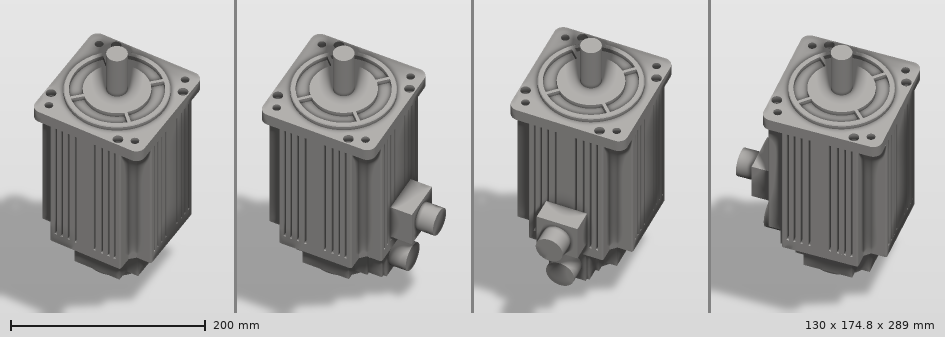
import cadquery as cq


COVER_BASE_Z = 7.8
CAP_BOTTOM_Z = 52.0
STATOR_BOTTOM_Z = 64.2
FLANGE_BOTTOM_Z = 218.2
FLANGE_TOP_Z = 232.5
PILOT_TOP_Z = 237.5
SHAFT_TOP_Z = 289.0

FRAME_SIZE = 130.0
FRAME_HALF = FRAME_SIZE / 2
RIGHT_ANGLES = [0, 90, 180, 270]

SHAFT_DIA = 22.3
FLANGE_CORNER_RADIUS = 9.8
PILOT_DIA = 110.0
PILOT_CHAMFER = 1.0
RECESS_OUTER_DIA = 98.8
RECESS_INNER_DIA = 70.5
RECESS_DEPTH = PILOT_TOP_Z - FLANGE_TOP_Z
RIB_WIDTH = 3.5
MOUNT_HOLE_DIA = 9.0
MOUNT_HOLE_OFFSET = 51.2

SCREW_ALONG = 35.0
SCREW_OUT = 58.0
SCREW_HOLE_DIA = 7.0
SCREW_HEAD_DIA = 11.0
SCREW_HEAD_DEPTH = 8.7
SCREW_THREAD_DIA = 5.8

NOTCH_WALL = 42.0
NOTCH_BEVEL_END = 48.0
LOBE_RADIUS = 2.0
GROOVE_CENTERS = [11.3, 20.0, 27.7, SCREW_ALONG]
GROOVE_WIDTH = 2.5
GROOVE_DEPTH = 6.0

COVER_SIZE = 81.2
COVER_ARM_WIDTH = 53.2
COVER_BOX_WIDTH = 45.7
COVER_BOX_END_Y = 55.8
COVER_DISC_DIA = 70.5

POWER_X = -1.2
POWER_Z = 92.0
POWER_BOX_WIDTH = 45.7
POWER_BOX_HEIGHT = 42.8
POWER_BOX_END_Y = 89.5
POWER_SOCKET_DIA = 30.3
POWER_SOCKET_END_Y = 109.8

ENCODER_Z = 28.3
ENCODER_PLATE_SIZE = 40.2
ENCODER_PLATE_END_Y = 59.5
ENCODER_SOCKET_DIA = 31.5
ENCODER_SOCKET_END_Y = 79.5


def level(z):
    """Horizontal workplane at height z, centred on the shaft axis."""
    return cq.Workplane("XY", origin=(0, 0, z))


def toward_back(x, y, z):
    """Upright workplane at the given point; a negative extrusion runs toward +Y."""
    return cq.Workplane("XZ", origin=(x, y, z))


def screw_points():
    """Screw centres, the first beside the +Y side and the others turned by right angles."""
    x, y = -SCREW_ALONG, SCREW_OUT
    return [(x, y), (-y, x), (-x, -y), (y, -x)]


def notched_frame(bottom_z, top_z):
    """Square prism with a bevelled notch in each corner and rounded lobe ends."""
    height = top_z - bottom_z
    arm = (
        level(bottom_z)
        .rect(FRAME_SIZE, 2 * NOTCH_WALL)
        .extrude(height)
        .edges("|Z")
        .fillet(LOBE_RADIUS)
    )
    cross_arm = arm.rotate((0, 0, 0), (0, 0, 1), 90)
    bevel = NOTCH_BEVEL_END - NOTCH_WALL
    core = (
        level(bottom_z)
        .rect(2 * NOTCH_BEVEL_END, 2 * NOTCH_BEVEL_END)
        .extrude(height)
        .edges("|Z")
        .chamfer(bevel)
    )
    return core.union(arm).union(cross_arm)


def make_shaft():
    """Plain output shaft standing on the hub of the flange."""
    return level(PILOT_TOP_Z).circle(SHAFT_DIA / 2).extrude(SHAFT_TOP_Z - PILOT_TOP_Z)


def make_flange():
    """Square front plate with a centring pilot, recessed face, mounting and screw holes."""
    plate = (
        level(FLANGE_BOTTOM_Z)
        .rect(FRAME_SIZE, FRAME_SIZE)
        .extrude(FLANGE_TOP_Z - FLANGE_BOTTOM_Z)
        .edges("|Z")
        .fillet(FLANGE_CORNER_RADIUS)
    )
    pilot = (
        level(FLANGE_TOP_Z)
        .circle(PILOT_DIA / 2)
        .extrude(PILOT_TOP_Z - FLANGE_TOP_Z)
        .faces(">Z")
        .chamfer(PILOT_CHAMFER)
    )
    flange = plate.union(pilot).cut(make_pilot_recess())
    mount_holes = (
        level(FLANGE_BOTTOM_Z)
        .rect(2 * MOUNT_HOLE_OFFSET, 2 * MOUNT_HOLE_OFFSET, forConstruction=True)
        .vertices()
        .circle(MOUNT_HOLE_DIA / 2)
        .extrude(FLANGE_TOP_Z - FLANGE_BOTTOM_Z)
    )
    screw_holes = (
        level(FLANGE_TOP_Z)
        .pushPoints(screw_points())
        .circle(SCREW_HOLE_DIA / 2)
        .extrude(FLANGE_BOTTOM_Z - FLANGE_TOP_Z)
    )
    head_pockets = (
        level(FLANGE_TOP_Z)
        .pushPoints(screw_points())
        .circle(SCREW_HEAD_DIA / 2)
        .extrude(-SCREW_HEAD_DEPTH)
    )
    return flange.cut(mount_holes).cut(screw_holes).cut(head_pockets)


def make_pilot_recess():
    """Ring-shaped recess in the pilot face, interrupted by four diagonal ribs."""
    floor = level(PILOT_TOP_Z - RECESS_DEPTH)
    ring = floor.circle(RECESS_OUTER_DIA / 2).circle(RECESS_INNER_DIA / 2).extrude(RECESS_DEPTH)
    for angle in (45, 135):
        rib_pair = (
            level(PILOT_TOP_Z - RECESS_DEPTH)
            .rect(PILOT_DIA, RIB_WIDTH)
            .extrude(RECESS_DEPTH)
            .rotate((0, 0, 0), (0, 0, 1), angle)
        )
        ring = ring.cut(rib_pair)
    return ring


def make_stator():
    """Notched housing with eight lengthwise cooling grooves in each side."""
    side_points = [
        (sign * center, FRAME_HALF - GROOVE_DEPTH / 2)
        for center in GROOVE_CENTERS
        for sign in (-1, 1)
    ]
    side_grooves = (
        level(STATOR_BOTTOM_Z)
        .pushPoints(side_points)
        .rect(GROOVE_WIDTH, GROOVE_DEPTH)
        .extrude(FLANGE_BOTTOM_Z - STATOR_BOTTOM_Z)
    )
    stator = notched_frame(STATOR_BOTTOM_Z, FLANGE_BOTTOM_Z)
    for angle in RIGHT_ANGLES:
        stator = stator.cut(side_grooves.rotate((0, 0, 0), (0, 0, 1), angle))
    return stator


def make_rear_cap():
    """Ungrooved end cap with a screw hole through each side lobe."""
    screw_holes = (
        level(CAP_BOTTOM_Z)
        .pushPoints(screw_points())
        .circle(SCREW_THREAD_DIA / 2)
        .extrude(STATOR_BOTTOM_Z - CAP_BOTTOM_Z)
    )
    return notched_frame(CAP_BOTTOM_Z, STATOR_BOTTOM_Z).cut(screw_holes)


def make_encoder_cover():
    """Cross-shaped rear cover with a bottom disc and a box reaching toward +Y."""
    height = CAP_BOTTOM_Z - COVER_BASE_Z
    base = level(COVER_BASE_Z)
    cover = base.rect(COVER_SIZE, COVER_ARM_WIDTH).extrude(height)
    cover = cover.union(base.rect(COVER_ARM_WIDTH, COVER_SIZE).extrude(height))
    box = base.center(0, COVER_BOX_END_Y / 2).rect(COVER_BOX_WIDTH, COVER_BOX_END_Y).extrude(height)
    disc = level(0).circle(COVER_DISC_DIA / 2).extrude(COVER_BASE_Z)
    return cover.union(box).union(disc)


def make_power_box():
    """Junction box on the back of the stator."""
    depth = POWER_BOX_END_Y - FRAME_HALF
    return (
        toward_back(POWER_X, FRAME_HALF, POWER_Z)
        .rect(POWER_BOX_WIDTH, POWER_BOX_HEIGHT)
        .extrude(-depth)
    )


def make_power_socket():
    """Round socket on the junction box."""
    length = POWER_SOCKET_END_Y - POWER_BOX_END_Y
    return (
        toward_back(POWER_X, POWER_BOX_END_Y, POWER_Z)
        .circle(POWER_SOCKET_DIA / 2)
        .extrude(-length)
    )


def make_encoder_socket():
    """Round socket with a square mounting plate on the encoder cover."""
    plate = (
        toward_back(0, COVER_BOX_END_Y, ENCODER_Z)
        .rect(ENCODER_PLATE_SIZE, ENCODER_PLATE_SIZE)
        .extrude(COVER_BOX_END_Y - ENCODER_PLATE_END_Y)
    )
    barrel = (
        toward_back(0, ENCODER_PLATE_END_Y, ENCODER_Z)
        .circle(ENCODER_SOCKET_DIA / 2)
        .extrude(ENCODER_PLATE_END_Y - ENCODER_SOCKET_END_Y)
    )
    return plate.union(barrel)


shaft = make_shaft()
flange = make_flange()
stator = make_stator()
rear_cap = make_rear_cap()
encoder_cover = make_encoder_cover()
power_box = make_power_box()
power_socket = make_power_socket()
encoder_socket = make_encoder_socket()

result = cq.Compound.makeCompound([
    shaft.val(),
    flange.val(),
    stator.val(),
    rear_cap.val(),
    encoder_cover.val(),
    power_box.val(),
    power_socket.val(),
    encoder_socket.val(),
])